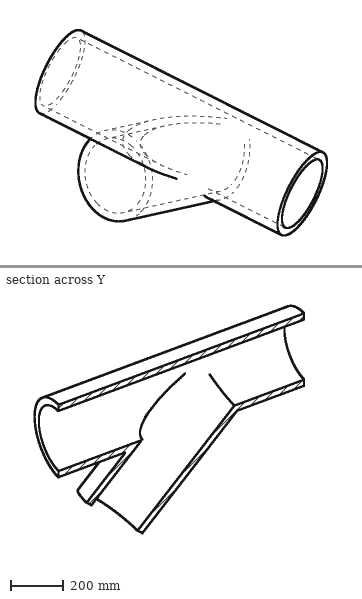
import cadquery as cq
import math

outer_diameter = 355.0
bore_diameter = 290.6
run_length = 1100.0
overall_height = 779.26
branch_angle = 45.0
junction_x = 727.0

slope = math.radians(branch_angle)
outer_radius = outer_diameter / 2
axis_drop = overall_height - outer_radius - outer_radius * math.cos(slope)
branch_length = axis_drop / math.sin(slope)


def run_cylinder(diameter):
    """Cylinder along the full run, from X = 0 toward +X."""
    return cq.Workplane("YZ").circle(diameter / 2).extrude(run_length)


def branch_cylinder(diameter):
    """Cylinder from the axis junction down toward -X and -Z."""
    direction = (-math.cos(slope), 0, -math.sin(slope))
    plane = cq.Plane(origin=(junction_x, 0, 0), xDir=(0, 1, 0), normal=direction)
    return cq.Workplane(plane).circle(diameter / 2).extrude(branch_length)


def tee_body(diameter):
    """Run and branch of one diameter joined together."""
    return run_cylinder(diameter).union(branch_cylinder(diameter))


result = tee_body(outer_diameter).cut(tee_body(bore_diameter))